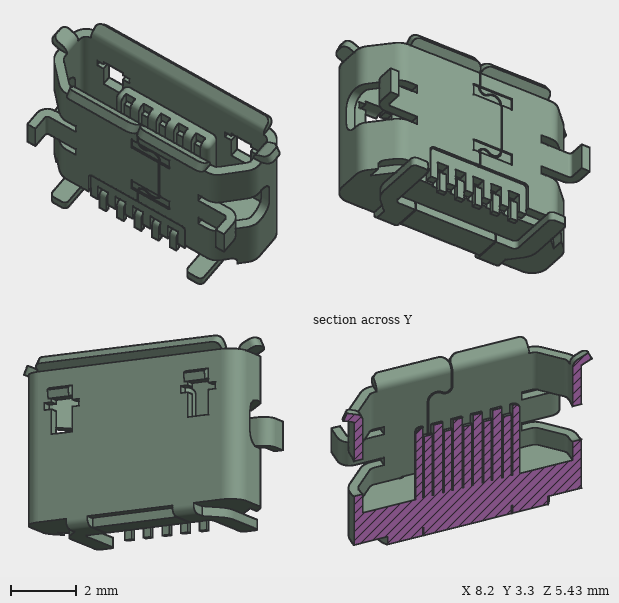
import cadquery as cq
import math


WALL = 0.3
SHELL_WIDTH = 7.5
SHELL_FRONT = 0.6
SHELL_DEPTH = 2.45
SHELL_BOTTOM = 0.3
RIM = 5.0
CORNER_CUT = 0.92
CORNER_RADIUS = 0.55
HALF_WIDTH = SHELL_WIDTH / 2
SHELL_BACK = SHELL_FRONT + SHELL_DEPTH
INNER_FRONT = SHELL_FRONT + WALL
INNER_BACK = SHELL_BACK - WALL

LIP_REACH = 0.25
LIP_ANGLE = 52.3
LIP_CORNER = 0.2
BACK_LIP_WIDTH = SHELL_WIDTH - 2 * CORNER_RADIUS
FRONT_LIP_END = 2.51
FRONT_LIP_SEAM_CORNER = 0.3
SIDE_LIP_REACH = 0.35
SIDE_LIP_ANGLE = 66
SIDE_LIP_WIDTH = 0.6
SIDE_LIP_Y = 2.15

OPENING_MID = 2.845
OPENING_HEIGHT = 1.46
OPENING_BACK = 2.27
OPENING_CORNER = 0.43
OPENING_INNER_END = 2.27
LEG_HEIGHT = 0.9
LEG_OUTER = 3.645
LEG_INNER_RADIUS = 0.1
LEG_OUTER_RADIUS = LEG_INNER_RADIUS + WALL

SEAM_X = 0.03
SEAM_GAP = 0.04
SEAM_OFFSET_X = 0.82
SEAM_MID = 3.25
HOOK_RADIUS = 0.2
HEAD_RADIUS = 0.28
HEAD_CENTRE_RISE = 0.87
RECESS_LEFT = -0.21
RECESS_LENGTH = 1.41
RECESS_HEIGHT = 0.4
RECESS_RISE = 1.05
RECESS_DEPTH = 0.05

NOTCH_HALF = 1.79
NOTCH_TOP = 1.5
NOTCH_RADIUS = 0.15
EDGE_HALF = 3.35
EDGE_TOP = 0.6
EDGE_BACK = 1.6

WINDOW_X = 2.37
WINDOW_WIDTH = 0.72
WINDOW_BOTTOM = 3.0
WINDOW_TOP = 4.12
SHOULDER_WIDTH = 1.2
SHOULDER_BOTTOM = 3.78
SHOULDER_TOP = 4.0
FLAP_TOP = 4.44
FLAP_REACH = 0.25
FLAP_DROP = 0.11
FLAP_TIP_LENGTH = 0.27
FLAP_TIP_LEAN = 0.05

FOOT_THICKNESS = SHELL_BOTTOM
FOOT_OUTER = 2.81
FOOT_WIDTH = 0.6
FOOT_TIP_RADIUS = 0.15
FOOT_INNER_FILLET = 0.15
FOOT_OUTER_FILLET = 0.72
FOOT_ROOT_INNER = 1.48
FOOT_ROOT_OUTER = 2.22
FOOT_BAR_FRONT = 1.9
FOOT_ROOT_FRONT = 2.5
FOOT_BEND_RADIUS = 0.25

BODY_BOTTOM = SHELL_BOTTOM
LUG_SIDE_CLEARANCE = 0.05
LUG_TOP_CLEARANCE = 0.03
FLOOR = NOTCH_TOP - LUG_TOP_CLEARANCE
LUG_FRONT = 0.65
LUG_BOTTOM = 0.38
LUG_CORNER = 0.1
STANDOFF_HALF = 1.45
TONGUE_WIDTH = 3.45
TONGUE_FRONT = 1.87
TONGUE_BACK = 2.49
TONGUE_TIP = 4.15
TONGUE_ROUND = 0.2
KEY_WIDTH = 0.82
KEY_TOP = 3.0
KEY_STEP_Y = 2.59
KEY_STEP = 0.2

CONTACT_COUNT = 5
CONTACT_PITCH = 0.65
CONTACT_WIDTH = 0.27
CONTACT_THICKNESS = 0.15
CONTACT_RECESS = 0.35
CONTACT_TOP = TONGUE_TIP - CONTACT_RECESS
GROOVE_WIDTH = 0.34
GROOVE_BACK = 2.14
TAIL_WIDTH = 0.25
TAIL_TOP = 0.77
POCKET_WIDTH = 0.375
POCKET_TOP = 1.02
POCKET_BACK = 0.95


def block(x0, x1, y0, y1, z0, z1):
    """Box between two opposite corners."""
    return cq.Workplane("XY").box(x1 - x0, y1 - y0, z1 - z0, centered=False).translate((x0, y0, z0))


def both_sides(solid):
    """The solid together with its mirror image across X = 0."""
    return solid.union(solid.mirror("YZ"))


def contact_positions():
    middle = (CONTACT_COUNT - 1) / 2
    return [(i - middle) * CONTACT_PITCH for i in range(CONTACT_COUNT)]


def shell_tube(inset, bottom, top):
    """Solid with the shell's outline, moved inward by `inset`."""
    half = HALF_WIDTH - inset
    front = SHELL_FRONT + inset
    back = SHELL_BACK - inset
    corner = CORNER_CUT - inset * (2 - math.sqrt(2))
    return (
        cq.Workplane("XY", origin=(0, 0, bottom))
        .moveTo(-half, back)
        .lineTo(half, back)
        .lineTo(half, front + corner)
        .lineTo(half - corner, front)
        .lineTo(corner - half, front)
        .lineTo(-half, front + corner)
        .close()
        .extrude(top - bottom)
        .edges("|Z")
        .fillet(CORNER_RADIUS - inset)
    )


def lip(width, reach, angle, left_corner, right_corner):
    """Lip flaring toward +Y from a wall whose outer face is Y = 0 and rim is Z = 0."""
    a = math.radians(angle)
    length = reach / math.sin(a)
    tip_rise = length * math.cos(a)
    bend_mid = (-WALL * math.cos(a / 2), WALL * math.sin(a / 2))
    bend_end = (-WALL * math.cos(a), WALL * math.sin(a))
    solid = (
        cq.Workplane("YZ", origin=(-width / 2, 0, 0))
        .moveTo(-WALL, 0)
        .threePointArc(bend_mid, bend_end)
        .lineTo(reach + bend_end[0], tip_rise + bend_end[1])
        .lineTo(reach, tip_rise)
        .lineTo(0, 0)
        .close()
        .extrude(width)
    )
    across = cq.selectors.ParallelDirSelector(cq.Vector(0, -math.cos(a), math.sin(a)))
    solid = solid.edges(across).edges("<X").fillet(left_corner)
    return solid.edges(across).edges(">X").fillet(right_corner)


def mouth_lips():
    back = lip(BACK_LIP_WIDTH, LIP_REACH, LIP_ANGLE, LIP_CORNER, LIP_CORNER)
    lips = back.translate((0, SHELL_BACK, RIM))

    side = lip(SIDE_LIP_WIDTH, SIDE_LIP_REACH, SIDE_LIP_ANGLE, LIP_CORNER, LIP_CORNER)
    side = side.rotate((0, 0, 0), (0, 0, 1), 90).translate((-HALF_WIDTH, SIDE_LIP_Y, RIM))
    lips = lips.union(both_sides(side))

    for direction in (-1, 1):
        seam_end = SEAM_X + direction * SEAM_GAP / 2
        outer_end = direction * FRONT_LIP_END
        corners = (FRONT_LIP_SEAM_CORNER, LIP_CORNER)[::direction]
        front = lip(abs(outer_end - seam_end), LIP_REACH, LIP_ANGLE, corners[1], corners[0])
        front = front.rotate((0, 0, 0), (0, 0, 1), 180)
        lips = lips.union(front.translate(((seam_end + outer_end) / 2, SHELL_FRONT, RIM)))
    return lips


def side_opening():
    """Cut through the left side wall, its slanted corner and the end of the front wall."""
    bottom = OPENING_MID - OPENING_HEIGHT / 2
    top = OPENING_MID + OPENING_HEIGHT / 2
    cut = block(-HALF_WIDTH, -OPENING_INNER_END, 0, OPENING_BACK, bottom, top)
    return cut.edges("|X and >Y").fillet(OPENING_CORNER)


def board_leg():
    """Left leg: continues the front wall outward, then turns down to the board."""
    leg = (
        cq.Workplane("XY", origin=(0, 0, OPENING_MID - LEG_HEIGHT / 2))
        .moveTo(-OPENING_INNER_END, INNER_FRONT)
        .lineTo(-LEG_OUTER, INNER_FRONT)
        .lineTo(-LEG_OUTER, 0)
        .lineTo(WALL - LEG_OUTER, 0)
        .lineTo(WALL - LEG_OUTER, SHELL_FRONT)
        .lineTo(-OPENING_INNER_END, SHELL_FRONT)
        .close()
        .extrude(LEG_HEIGHT)
    )
    outside = cq.selectors.NearestToPointSelector((-LEG_OUTER, INNER_FRONT, OPENING_MID))
    leg = leg.edges(outside).fillet(LEG_OUTER_RADIUS)
    inside = cq.selectors.NearestToPointSelector((WALL - LEG_OUTER, SHELL_FRONT, OPENING_MID))
    return leg.edges(inside).fillet(LEG_INNER_RADIUS)


def seam_arc(centre, radius, start, end):
    """Curved piece of the seam between two angles in degrees, through the front wall."""
    inner = radius - SEAM_GAP / 2
    outer = radius + SEAM_GAP / 2

    def at(r, degrees):
        t = math.radians(degrees)
        return (centre[0] + r * math.cos(t), centre[1] + r * math.sin(t))

    middle = (start + end) / 2
    return (
        cq.Workplane("XZ", origin=(0, INNER_FRONT, 0))
        .moveTo(*at(inner, start))
        .threePointArc(at(inner, middle), at(inner, end))
        .lineTo(*at(outer, end))
        .threePointArc(at(outer, middle), at(outer, start))
        .close()
        .extrude(WALL)
    )


def seam():
    """Gap where the rolled shell's two ends meet; its middle steps sideways as a dovetail."""
    hook_x = SEAM_X + HOOK_RADIUS
    head_x = SEAM_OFFSET_X - HEAD_RADIUS
    span = head_x - hook_x
    drop = math.sqrt((HOOK_RADIUS + HEAD_RADIUS) ** 2 - span**2)
    tangent = math.degrees(math.atan2(drop, span))
    head_z = SEAM_MID + HEAD_CENTRE_RISE
    hook_z = head_z + drop
    half_gap = SEAM_GAP / 2

    straight = block(SEAM_X - half_gap, SEAM_X + half_gap, SHELL_FRONT, INNER_FRONT, hook_z, RIM)
    hook = seam_arc((hook_x, hook_z), HOOK_RADIUS, 180, 360 - tangent)
    head = seam_arc((head_x, head_z), HEAD_RADIUS, 180 - tangent, 0)
    step = block(
        SEAM_OFFSET_X - half_gap, SEAM_OFFSET_X + half_gap, SHELL_FRONT, INNER_FRONT, SEAM_MID, head_z
    )
    upper = straight.union(hook).union(head).union(step)
    return upper.union(upper.mirror("XY", (0, 0, SEAM_MID)))


def stamped_recesses():
    """Shallow rectangles pressed into the front wall around both curved parts of the seam."""
    right = RECESS_LEFT + RECESS_LENGTH
    back = SHELL_FRONT + RECESS_DEPTH
    bottom = SEAM_MID + RECESS_RISE - RECESS_HEIGHT / 2
    upper = block(RECESS_LEFT, right, SHELL_FRONT, back, bottom, bottom + RECESS_HEIGHT)
    return upper.union(upper.mirror("XY", (0, 0, SEAM_MID)))


def front_lower_cut():
    """Removes the low strip of the front wall and the notch for the insulator lug."""
    notch = block(-NOTCH_HALF, NOTCH_HALF, SHELL_FRONT, INNER_FRONT, SHELL_BOTTOM, NOTCH_TOP)
    notch = notch.edges("|Y and >Z").fillet(NOTCH_RADIUS)
    strip = block(-EDGE_HALF, EDGE_HALF, SHELL_FRONT, EDGE_BACK, SHELL_BOTTOM, EDGE_TOP)
    strip = strip.edges("|Y and >Z").fillet(NOTCH_RADIUS)
    return notch.union(strip)


def latch_window():
    """Cross-shaped window on the left of the back wall."""
    half = WINDOW_WIDTH / 2
    shoulder = SHOULDER_WIDTH / 2
    stem = block(-WINDOW_X - half, half - WINDOW_X, INNER_BACK, SHELL_BACK, WINDOW_BOTTOM, WINDOW_TOP)
    arms = block(
        -WINDOW_X - shoulder, shoulder - WINDOW_X, INNER_BACK, SHELL_BACK, SHOULDER_BOTTOM, SHOULDER_TOP
    )
    return stem.union(arms)


def latch_flap():
    """Short flap curling outward and down from the top of the left latch window."""
    top_end = (SHELL_BACK + FLAP_REACH, FLAP_TOP - FLAP_DROP)
    bottom_end = (top_end[0] - FLAP_TIP_LEAN, top_end[1] - FLAP_TIP_LENGTH)

    def curl_middle(root_z, end):
        """Middle of a curl that starts level at the wall and falls to its end."""
        return ((SHELL_BACK + end[0]) / 2, root_z + (end[1] - root_z) / 4)

    return (
        cq.Workplane("YZ", origin=(-WINDOW_X - WINDOW_WIDTH / 2, 0, 0))
        .moveTo(INNER_BACK, FLAP_TOP)
        .lineTo(SHELL_BACK, FLAP_TOP)
        .threePointArc(curl_middle(FLAP_TOP, top_end), top_end)
        .lineTo(*bottom_end)
        .threePointArc(curl_middle(WINDOW_TOP, bottom_end), (SHELL_BACK, WINDOW_TOP))
        .lineTo(INNER_BACK, WINDOW_TOP)
        .close()
        .extrude(WINDOW_WIDTH)
    )


def foot():
    """Left foot: bends off the bottom of the back wall, then runs forward to the board."""
    inner = FOOT_OUTER - FOOT_WIDTH
    slant = FOOT_OUTER - FOOT_ROOT_OUTER
    bracket = (
        cq.Workplane("XY")
        .moveTo(-FOOT_ROOT_INNER, SHELL_BACK)
        .lineTo(-FOOT_ROOT_OUTER, SHELL_BACK)
        .lineTo(-FOOT_ROOT_OUTER, FOOT_ROOT_FRONT)
        .lineTo(-FOOT_OUTER, FOOT_ROOT_FRONT - slant)
        .lineTo(-FOOT_OUTER, 0)
        .lineTo(-inner, 0)
        .lineTo(-inner, FOOT_BAR_FRONT)
        .lineTo(-FOOT_ROOT_INNER, FOOT_BAR_FRONT)
        .close()
        .extrude(FOOT_THICKNESS)
    )
    mid = FOOT_THICKNESS / 2
    nearest = cq.selectors.NearestToPointSelector
    bracket = bracket.edges("|Z and <Y").fillet(FOOT_TIP_RADIUS)
    bracket = bracket.edges(nearest((-inner, FOOT_BAR_FRONT, mid))).fillet(FOOT_INNER_FILLET)
    bracket = bracket.edges(nearest((-FOOT_OUTER, FOOT_ROOT_FRONT - slant, mid))).fillet(FOOT_OUTER_FILLET)
    return bracket.edges("|X and >Y and <Z").fillet(FOOT_BEND_RADIUS)


def shell():
    body = shell_tube(0, SHELL_BOTTOM, RIM).cut(shell_tube(WALL, SHELL_BOTTOM, RIM))
    body = body.cut(both_sides(side_opening()))
    body = body.cut(front_lower_cut()).cut(stamped_recesses()).cut(seam())
    body = body.cut(both_sides(latch_window()))
    for added in (board_leg(), latch_flap(), foot()):
        body = body.union(both_sides(added))
    return body.union(mouth_lips())


def tongue():
    bar = block(-TONGUE_WIDTH / 2, TONGUE_WIDTH / 2, TONGUE_FRONT, TONGUE_BACK, BODY_BOTTOM, TONGUE_TIP)
    bar = bar.edges("|Z or >Z").fillet(TONGUE_ROUND)
    half = GROOVE_WIDTH / 2
    for x in contact_positions():
        bar = bar.cut(block(x - half, x + half, TONGUE_FRONT, GROOVE_BACK, FLOOR, TONGUE_TIP))
    return bar


def insulator():
    half_key = KEY_WIDTH / 2
    half_lug = NOTCH_HALF - LUG_SIDE_CLEARANCE
    lug = block(-half_lug, half_lug, LUG_FRONT, INNER_FRONT, LUG_BOTTOM, FLOOR)
    lug = lug.edges("|Y and >Z").fillet(LUG_CORNER)
    body = shell_tube(WALL, BODY_BOTTOM, FLOOR).union(lug).union(tongue())
    body = body.union(
        block(-STANDOFF_HALF, STANDOFF_HALF, FOOT_BAR_FRONT, INNER_BACK, 0, BODY_BOTTOM)
    )
    body = body.union(block(-half_key, half_key, KEY_STEP_Y, INNER_BACK, FLOOR, KEY_TOP))
    body = body.union(block(-half_key, half_key, TONGUE_BACK, KEY_STEP_Y, FLOOR, KEY_TOP - KEY_STEP))
    half_pocket = POCKET_WIDTH / 2
    for x in contact_positions():
        body = body.cut(
            block(x - half_pocket, x + half_pocket, LUG_FRONT, POCKET_BACK, BODY_BOTTOM, POCKET_TOP)
        )
    return body


def contact(x):
    """Blade lying in a tongue groove and a tail bending down to the board edge."""
    half_blade = CONTACT_WIDTH / 2
    half_tail = TAIL_WIDTH / 2
    tail_back = LUG_FRONT + CONTACT_THICKNESS
    blade = block(
        x - half_blade, x + half_blade, GROOVE_BACK - CONTACT_THICKNESS, GROOVE_BACK, FLOOR, CONTACT_TOP
    )
    tail = block(x - half_tail, x + half_tail, LUG_FRONT, POCKET_BACK, 0, TAIL_TOP)
    tail = tail.edges("|X and <Y and >Z").fillet(CONTACT_THICKNESS)
    under = block(
        x - half_tail, x + half_tail, tail_back, POCKET_BACK, 0, TAIL_TOP - CONTACT_THICKNESS
    )
    return blade.union(tail.cut(under))


result = shell().union(insulator())
for position in contact_positions():
    result = result.union(contact(position))